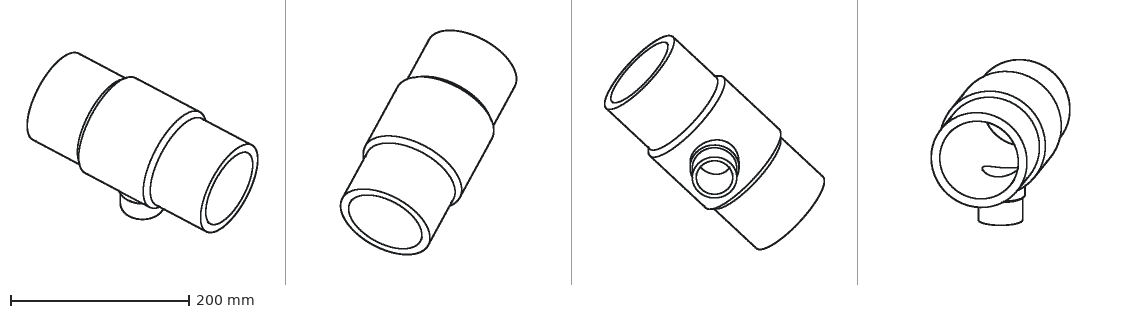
import cadquery as cq

pipe_length = 240.0
pipe_diameter = 110.0
bore_diameter = 90.0

sleeve_diameter = 121.0
sleeve_length = 100.8
sleeve_cone_length = 5.8

branch_diameter = 50.0
branch_bore_diameter = 40.8
branch_depth = 100.0
collar_diameter = 55.0
collar_depth = 73.5
collar_cone_length = 2.0


def cylinder_along_x(diameter, length):
    return cq.Workplane("YZ", origin=(-length / 2, 0, 0)).circle(diameter / 2).extrude(length)


def cylinder_down(diameter, depth):
    return cq.Workplane("XY").circle(diameter / 2).extrude(-depth)


def make_sleeve():
    half_length = sleeve_length / 2
    half_flat = half_length - sleeve_cone_length
    section = [
        (-half_length, 0),
        (-half_length, pipe_diameter / 2),
        (-half_flat, sleeve_diameter / 2),
        (half_flat, sleeve_diameter / 2),
        (half_length, pipe_diameter / 2),
        (half_length, 0),
    ]
    return cq.Workplane("XY").polyline(section).close().revolve(360, (0, 0, 0), (1, 0, 0))


def make_branch():
    branch_radius = branch_diameter / 2
    collar_radius = collar_diameter / 2
    section = [
        (0, 0),
        (collar_radius, 0),
        (collar_radius, collar_cone_length - collar_depth),
        (branch_radius, -collar_depth),
        (branch_radius, -branch_depth),
        (0, -branch_depth),
    ]
    return cq.Workplane("XZ").polyline(section).close().revolve(360, (0, 0, 0), (0, 1, 0))


body = cylinder_along_x(pipe_diameter, pipe_length).union(make_sleeve()).union(make_branch())

result = body.cut(cylinder_along_x(bore_diameter, pipe_length))
result = result.cut(cylinder_down(branch_bore_diameter, branch_depth))